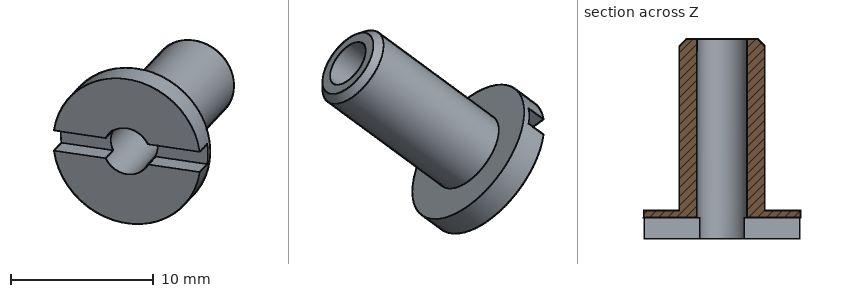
import cadquery as cq

total_length = 14.0
head_diameter = 11.0
head_thickness = 2.0
shank_diameter = 6.02
bore_diameter = 3.5
tip_chamfer = 0.5

slot_width = 1.54
slot_depth = 1.5


def cylinder_along_y(diameter, length):
    """Solid cylinder from Y = 0 towards +Y."""
    return cq.Workplane("XZ").circle(diameter / 2).extrude(-length)


shank = cylinder_along_y(shank_diameter, total_length).faces(">Y").edges().chamfer(tip_chamfer)
head = cylinder_along_y(head_diameter, head_thickness)
body = head.union(shank)

bore = cylinder_along_y(bore_diameter, total_length)

slot = (
    cq.Workplane("XY")
    .box(head_diameter, slot_depth, slot_width)
    .translate((0, slot_depth / 2, 0))
)

result = body.cut(bore).cut(slot)